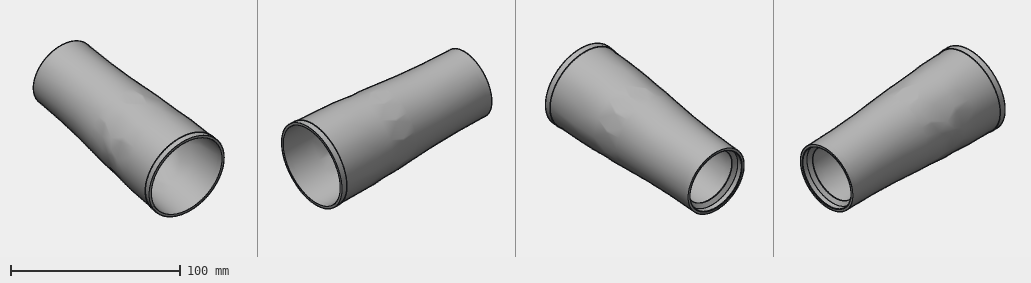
import cadquery as cq
import math

length = 120.0
collar_length = 4.0
small_radius = 22.3
large_radius = 28.02
large_collar_step = 0.4

wall = 1.7
mouth_radius = 20.8
mouth_chamfer = 0.4
seat_start = 3.6
throat_start = 5.8
throat_radius = 17.9
throat_land = 0.4
relief_end = 12.6

small_bore_radius = small_radius - wall
large_bore_radius = large_radius - wall
large_body_radius = large_radius - large_collar_step
seat_radius = mouth_radius - mouth_chamfer
throat_end = throat_start + throat_land


def s_curve(profile, start, end):
    """Add two equal tangent arcs that leave and arrive parallel to the axis."""
    middle = ((start[0] + end[0]) / 2, (start[1] + end[1]) / 2)
    quarter_span = (end[0] - start[0]) / 4
    half_rise = (end[1] - start[1]) / 2
    arc_radius = (4 * quarter_span**2 + half_rise**2) / (2 * half_rise)
    arc_depth = arc_radius - math.sqrt(arc_radius**2 - quarter_span**2)
    return (
        profile.threePointArc((start[0] + quarter_span, start[1] + arc_depth), middle)
        .threePointArc((end[0] - quarter_span, end[1] - arc_depth), end)
    )


def make_outside():
    profile = cq.Workplane("XY").lineTo(0, small_radius).lineTo(collar_length, small_radius)
    profile = s_curve(
        profile,
        (collar_length, small_radius),
        (length - collar_length, large_body_radius),
    )
    profile = (
        profile.lineTo(length - collar_length, large_radius)
        .lineTo(length, large_radius)
        .lineTo(length, 0)
        .close()
    )
    return profile.revolve(360, (0, 0, 0), (1, 0, 0))


def make_bore():
    profile = (
        cq.Workplane("XY")
        .lineTo(0, mouth_radius)
        .lineTo(mouth_chamfer, seat_radius)
        .lineTo(seat_start, seat_radius)
        .lineTo(throat_start, throat_radius)
        .lineTo(throat_end, throat_radius)
        .lineTo(throat_end, small_bore_radius)
        .lineTo(relief_end, small_bore_radius)
    )
    profile = s_curve(
        profile,
        (relief_end, small_bore_radius),
        (length - collar_length, large_bore_radius),
    )
    profile = profile.lineTo(length, large_bore_radius).lineTo(length, 0).close()
    return profile.revolve(360, (0, 0, 0), (1, 0, 0))


result = make_outside().cut(make_bore())